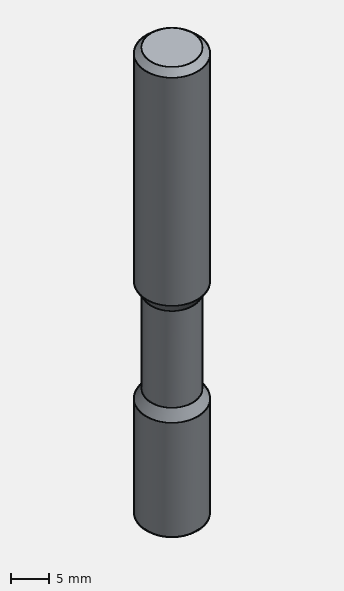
import cadquery as cq
import math

length = 80.0
body_diameter = 10.0
body_radius = body_diameter / 2

top_chamfer = 1.0
bottom_chamfer = 0.5

neck_diameter = 8.0
neck_radius = neck_diameter / 2
lower_shoulder_z = 20.0
upper_shoulder_z = 40.0
shoulder_angle = math.radians(30)
shoulder_length = (body_radius - neck_radius) / math.tan(shoulder_angle)

profile = [
    (0, 0),
    (body_radius - bottom_chamfer, 0),
    (body_radius, bottom_chamfer),
    (body_radius, lower_shoulder_z),
    (neck_radius, lower_shoulder_z + shoulder_length),
    (neck_radius, upper_shoulder_z - shoulder_length),
    (body_radius, upper_shoulder_z),
    (body_radius, length - top_chamfer),
    (body_radius - top_chamfer, length),
    (0, length),
]

result = cq.Workplane("XZ").polyline(profile).close().revolve(360, (0, 0, 0), (0, 1, 0))